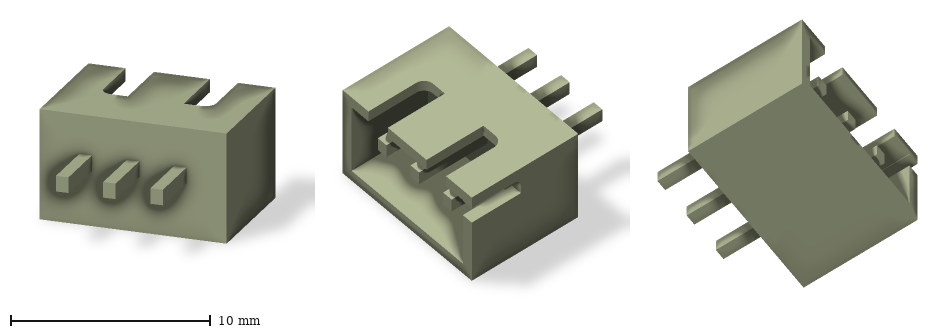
import cadquery as cq

width = 10.0
height = 5.9
body_depth = 7.0
wall = 0.7
cavity_depth = 5.0

pin_count = 3
pin_pitch = 2.53
pin_width = 0.67
pin_height = 0.83
pin_center_z = 3.38
overall_depth = 10.4
pin_tail = overall_depth - body_depth
pin_tip_recess = 0.5

notch_inner_x = 1.5
notch_width = 1.51
notch_depth = 3.74
notch_radius = 0.6

slot_base_z = 4.13
slot_height = 1.02
slot_depth = 3.23
slot_radius = 0.5


def corner_box(size_x, size_y, size_z, x, y, z):
    """Box with its lowest X, Y, Z corner at the given point."""
    return cq.Workplane("XY").box(size_x, size_y, size_z, centered=False).translate((x, y, z))


def make_housing():
    body = corner_box(width, body_depth, height, -width / 2, 0, 0)
    cavity = corner_box(
        width - 2 * wall, cavity_depth, height - 2 * wall,
        -width / 2 + wall, body_depth - cavity_depth, wall,
    )
    return body.cut(cavity)


def make_notches():
    """Open-ended notches, each rounded at its outer blind corner."""
    notch = corner_box(
        notch_width, notch_depth, wall,
        notch_inner_x, body_depth - notch_depth, height - wall,
    )
    notch = notch.edges("|Z and >X and <Y").fillet(notch_radius)
    return notch.union(notch.mirror("YZ"))


def make_side_slot():
    """Open-ended slot through the -X wall, rounded at its upper blind corner."""
    slot = corner_box(
        wall, slot_depth, slot_height,
        -width / 2, body_depth - slot_depth, slot_base_z,
    )
    return slot.edges("|X and >Z and <Y").fillet(slot_radius)


def make_pin(center_x):
    return corner_box(
        pin_width, pin_tail + body_depth - pin_tip_recess, pin_height,
        center_x - pin_width / 2, -pin_tail, pin_center_z - pin_height / 2,
    )


result = make_housing().cut(make_notches()).cut(make_side_slot())
for index in range(pin_count):
    result = result.union(make_pin((index - (pin_count - 1) / 2) * pin_pitch))